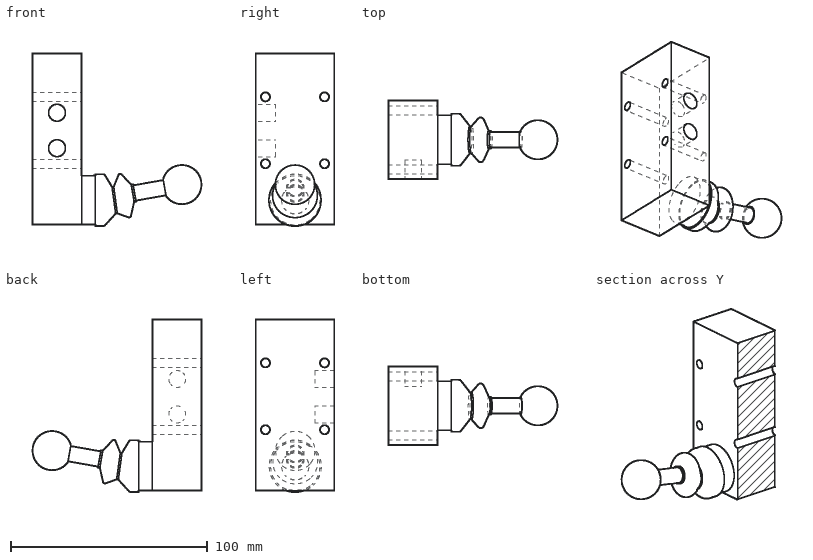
import cadquery as cq
import math

body_depth = 25.0
body_width = 40.0
overall_height = 87.75
socket_dia = 25.0
collar_dia = 26.5
lever_base_z = socket_dia / 2
body_height = overall_height - (collar_dia - socket_dia) / 2

mount_hole_dia = 4.5
mount_spacing_y = 30.0
mount_spacing_z = 34.0
mount_lower_z = 31.0

port_dia = 8.6
port_depth = 10.0
port_lower_z = 38.9
port_spacing_z = 18.0

socket_length = 7.0
collar_length = 4.5
collar_start_x = body_depth + socket_length
collar_end_x = collar_start_x + collar_length

lever_tilt = 10.0
ball_dia = 20.0
overall_length = 85.9
ball_x = overall_length - ball_dia / 2
ball_z = 20.4
stem_dia = 8.0
lip_dia = 9.0
lip_length = 1.0
lip_to_ball = 25.4
ball_flat_dia = 9.1

waist_dia = 13.9
waist_length = 0.9
waist_x = 41.8
waist_tilt = 7.7
rim_dia = 24.0
rim_x = 47.0
rim_z = 15.0
rim_tilt = 13.4

collar_round = 1.4
rim_round = 1.0


def tilted_plane(x, z, tilt):
    """Plane at (x, 0, z) whose normal is +X turned up by the tilt angle."""
    angle = math.radians(tilt)
    return cq.Plane(
        origin=(x, 0, z),
        xDir=(0, 1, 0),
        normal=(math.cos(angle), 0, math.sin(angle)),
    )


def ring(x, z, diameter, tilt):
    """Circular wire on a tilted plane."""
    return cq.Workplane(tilted_plane(x, z, tilt)).circle(diameter / 2).wires().val()


def make_body():
    body = cq.Workplane("XY").box(
        body_depth, body_width, body_height, centered=(False, True, False)
    )
    mount_holes = (
        cq.Workplane("YZ", origin=(0, 0, mount_lower_z + mount_spacing_z / 2))
        .rarray(mount_spacing_y, mount_spacing_z, 2, 2)
        .circle(mount_hole_dia / 2)
        .extrude(body_depth)
    )
    ports = (
        cq.Workplane("XZ", origin=(body_depth / 2, -body_width / 2, port_lower_z))
        .pushPoints([(0, 0), (0, port_spacing_z)])
        .circle(port_dia / 2)
        .extrude(-port_depth)
    )
    return body.cut(mount_holes).cut(ports)


def make_boot(lip_x, lip_z):
    """Collar, waist band and rim joined by straight-sided cones; collar and rim edges rounded."""
    waist_angle = math.radians(waist_tilt)
    waist_run = waist_length / 2 * math.cos(waist_angle)
    waist_rise = waist_length / 2 * math.sin(waist_angle)
    rings = [
        ring(collar_start_x, lever_base_z, collar_dia, 0),
        ring(collar_end_x, lever_base_z, collar_dia, 0),
        ring(waist_x - waist_run, lever_base_z - waist_rise, waist_dia, waist_tilt),
        ring(waist_x + waist_run, lever_base_z + waist_rise, waist_dia, waist_tilt),
        ring(rim_x, rim_z, rim_dia, rim_tilt),
        ring(lip_x, lip_z, lip_dia, lever_tilt),
    ]
    boot = cq.Workplane(cq.Solid.makeLoft(rings, True))
    rounded_edges = [
        (collar_end_x, lever_base_z, collar_round),
        (rim_x, rim_z, rim_round),
    ]
    for x, z, radius in rounded_edges:
        ring_edge = cq.NearestToPointSelector((x, 0, z))
        boot = boot.edges("not %LINE").edges(ring_edge).fillet(radius)
    return boot


def make_lever(lip_x, lip_z):
    plane = tilted_plane(lip_x, lip_z, lever_tilt)
    lip = cq.Workplane(plane).circle(lip_dia / 2).extrude(lip_length)
    stem = cq.Workplane(plane).circle(stem_dia / 2).extrude(lip_to_ball)
    flat_latitude = math.degrees(math.acos(ball_flat_dia / ball_dia))
    ball = cq.Solid.makeSphere(
        ball_dia / 2, cq.Vector(ball_x, 0, ball_z), plane.zDir, -flat_latitude, 90, 360
    )
    return lip.union(stem).union(cq.Workplane(ball))


lip_x = ball_x - lip_to_ball * math.cos(math.radians(lever_tilt))
lip_z = ball_z - lip_to_ball * math.sin(math.radians(lever_tilt))

socket = (
    cq.Workplane("YZ", origin=(body_depth, 0, lever_base_z))
    .circle(socket_dia / 2)
    .extrude(socket_length)
)
result = make_body().union(socket).union(make_boot(lip_x, lip_z)).union(make_lever(lip_x, lip_z))